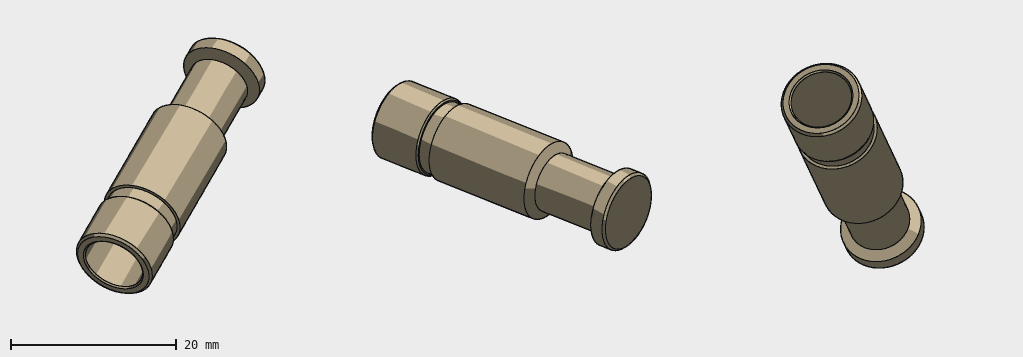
import cadquery as cq
import math

length = 35.0
body_diameter = 10.0
neck_diameter = 7.5
groove_diameter = 9.2
bore_diameter = 7.5

collar_length = 6.8
groove_end = 8.78
body_length = 23.0
bore_depth = 18.0

head_thickness = 2.0
shoulder_angle = 30.0

end_chamfer = 0.3
groove_chamfer = 0.2
bore_chamfer = 0.2
drill_point_angle = 135.0

body_radius = body_diameter / 2
neck_radius = neck_diameter / 2
groove_radius = groove_diameter / 2
bore_radius = bore_diameter / 2
shoulder_length = (body_radius - neck_radius) * math.tan(math.radians(shoulder_angle))


def revolve_about_y(profile):
    """Turn a closed half profile, drawn as (radius, y), around the Y axis."""
    section = cq.Workplane("XY").polyline(profile).close()
    return section.revolve(360, (0, 0, 0), (0, 1, 0))


def make_outside():
    """Solid turned outside: collar, groove, body, neck and head."""
    head_start = length - head_thickness
    return revolve_about_y([
        (0, 0),
        (body_radius - end_chamfer, 0),
        (body_radius, end_chamfer),
        (body_radius, collar_length),
        (body_radius - groove_chamfer, collar_length + groove_chamfer),
        (groove_radius, collar_length + groove_chamfer),
        (groove_radius, groove_end),
        (body_radius, groove_end),
        (body_radius, body_length),
        (neck_radius, body_length + shoulder_length),
        (neck_radius, head_start - shoulder_length),
        (body_radius, head_start),
        (body_radius, length - end_chamfer),
        (body_radius - end_chamfer, length),
        (0, length),
    ])


def make_bore():
    """Blind drilled bore with a chamfered mouth and a conical bottom."""
    point_length = bore_radius / math.tan(math.radians(drill_point_angle / 2))
    return revolve_about_y([
        (0, 0),
        (bore_radius + bore_chamfer, 0),
        (bore_radius, bore_chamfer),
        (bore_radius, bore_depth),
        (0, bore_depth + point_length),
    ])


result = make_outside().cut(make_bore())